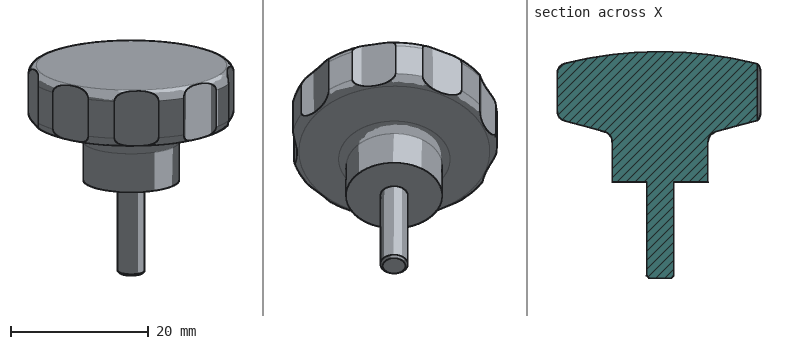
import cadquery as cq
import math

head_radius = 15.0
head_top = 19.0
dome_edge_height = 17.0
rim_round = 1.5

hub_radius = 7.0
underside_angle = 15.0
underside_height = 7.0
hub_round = 1.5

flute_count = 9
flute_radius = 10.0
flute_floor = 14.12
first_flute_angle = -90.0

stud_radius = 2.0
stud_length = 14.0
stud_chamfer = 0.35

overhang = head_radius - hub_radius
rim_bottom = underside_height + overhang * math.tan(math.radians(underside_angle))
dome_rise = head_top - dome_edge_height
dome_radius = (head_radius**2 + dome_rise**2) / (2 * dome_rise)


def dome_height(radius):
    """Height of the spherical top at a given distance from the axis."""
    return head_top - dome_radius + math.sqrt(dome_radius**2 - radius**2)


def round_edge_at(body, corner, radius):
    """Fillet the circular edge of a revolved body that passes through a corner point."""
    corner_point = cq.Vertex.makeVertex(*corner)
    circles = body.edges("%CIRCLE").vals()
    nearest = min(circles, key=corner_point.distance)
    return body.newObject([nearest]).fillet(radius)


def make_head():
    """Revolve the hub, conical underside and domed top, then round the corners."""
    mid_radius = head_radius / 2
    head = (
        cq.Workplane("XZ")
        .lineTo(hub_radius, 0)
        .lineTo(hub_radius, underside_height)
        .lineTo(head_radius, rim_bottom)
        .lineTo(head_radius, dome_edge_height)
        .threePointArc((mid_radius, dome_height(mid_radius)), (0, head_top))
        .close()
        .revolve(360, (0, 0, 0), (0, 1, 0))
    )
    rim_corners = [(head_radius, 0, rim_bottom), (head_radius, 0, dome_edge_height)]
    for corner in rim_corners:
        head = round_edge_at(head, corner, rim_round)
    return round_edge_at(head, (hub_radius, 0, underside_height), hub_round)


def make_flutes():
    """Upright cylinders spaced around the rim that cut the finger flutes."""
    return (
        cq.Workplane("XY")
        .polarArray(flute_floor + flute_radius, first_flute_angle, 360, flute_count)
        .circle(flute_radius)
        .extrude(head_top)
    )


def make_stud():
    """Plain stud below the hub with a chamfered tip."""
    return (
        cq.Workplane("XY")
        .circle(stud_radius)
        .extrude(-stud_length)
        .faces("<Z")
        .chamfer(stud_chamfer)
    )


result = make_head().cut(make_flutes()).union(make_stud())